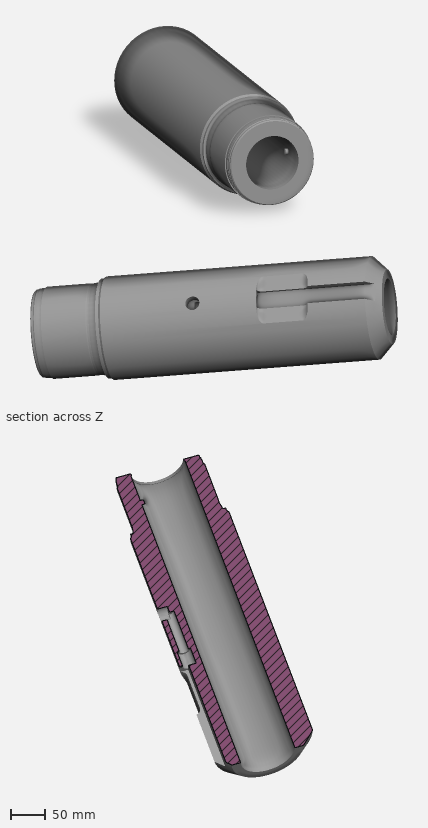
import cadquery as cq

length = 526.0
body_radius = 76.0
nose_chamfer = 21.0

body_end = 418.5
collar_start = 421.5
collar_end = 426.5
collar_radius = 73.5
relief_start_radius = 69.5
relief_end = 437.5
relief_depth = 0.25

neck_start = 440.5
neck_start_bevel = 1.5
neck_radius = 68.0
neck_end = 509.0
tip_radius = 66.0
groove_start = 516.5
groove_taper = 1.5
groove_end = 521.5
groove_depth = 0.5
end_ring_radius = 64.5
end_chamfer = 1.5

bore_radius = 41.5
lip_radius = 40.5
lip_start = groove_end

keyway_width = 27.0
keyway_floor = 62.5
flat_start = 106.5
flat_end = 184.5
flat_height = 67.0
flat_corner_radius = 10.0

passage_radius = 10.0
passage_height = 61.0
passage_step = 210.5
passage_inner_radius = 7.0
outlet_x = 279.5
outlet_radius = 10.5

stud_radius = 4.0
stud_tip = 37.0
stud_root = 47.5
stud_x = 473.0
stud_angles = (0, 135)


def sleeve_blank():
    """Turned outside shape of the sleeve, still solid."""
    profile = [
        (0, 0),
        (0, body_radius - nose_chamfer),
        (nose_chamfer, body_radius),
        (body_end, body_radius),
        (collar_start, collar_radius),
        (collar_end, collar_radius),
        (collar_end, relief_start_radius),
        (relief_end, neck_radius - relief_depth),
        (neck_start, neck_radius - relief_depth),
        (neck_start + neck_start_bevel, neck_radius),
        (neck_end, neck_radius),
        (neck_end, tip_radius),
        (groove_start, tip_radius),
        (groove_start, tip_radius - groove_depth),
        (groove_end - groove_taper, tip_radius - groove_depth),
        (groove_end, end_ring_radius),
        (length - end_chamfer, end_ring_radius),
        (length, end_ring_radius - end_chamfer),
        (length, 0),
    ]
    return cq.Workplane("XY").polyline(profile).close().revolve(360, (0, 0, 0), (1, 0, 0))


def axial_cylinder(radius, start, end, height=0):
    """Cylinder along X between two stations, with its axis at Y = height."""
    return cq.Workplane("YZ", origin=(start, height, 0)).circle(radius).extrude(end - start)


def radial_cylinder(radius, x, inner, outer):
    """Cylinder along +Y between two distances from the sleeve axis."""
    return cq.Workplane("XZ", origin=(x, outer, 0)).circle(radius).extrude(outer - inner)


def keyway():
    """Square-ended slot, open at the nose."""
    return cq.Workplane("XY").box(
        flat_end, body_radius - keyway_floor, keyway_width, centered=(False, False, True)
    ).translate((0, keyway_floor, 0))


def cross_flat():
    """Flat milled right across the +Y side, rounded where it rises to the surface."""
    block = cq.Workplane("XY").box(
        flat_end - flat_start, body_radius, 2 * body_radius, centered=(False, False, True)
    ).translate((flat_start, flat_height, 0))
    return block.faces("<Y").edges("|Z").fillet(flat_corner_radius)


sleeve = sleeve_blank()
sleeve = sleeve.cut(axial_cylinder(bore_radius, 0, lip_start))
sleeve = sleeve.cut(axial_cylinder(lip_radius, lip_start, length))
sleeve = sleeve.cut(keyway()).cut(cross_flat())
sleeve = sleeve.cut(axial_cylinder(passage_radius, flat_end, passage_step, passage_height))
sleeve = sleeve.cut(axial_cylinder(passage_inner_radius, passage_step, outlet_x, passage_height))
sleeve = sleeve.cut(radial_cylinder(outlet_radius, outlet_x, passage_height, body_radius))
for angle in stud_angles:
    stud = radial_cylinder(stud_radius, stud_x, stud_tip, stud_root)
    sleeve = sleeve.union(stud.rotate((0, 0, 0), (1, 0, 0), angle))

result = sleeve